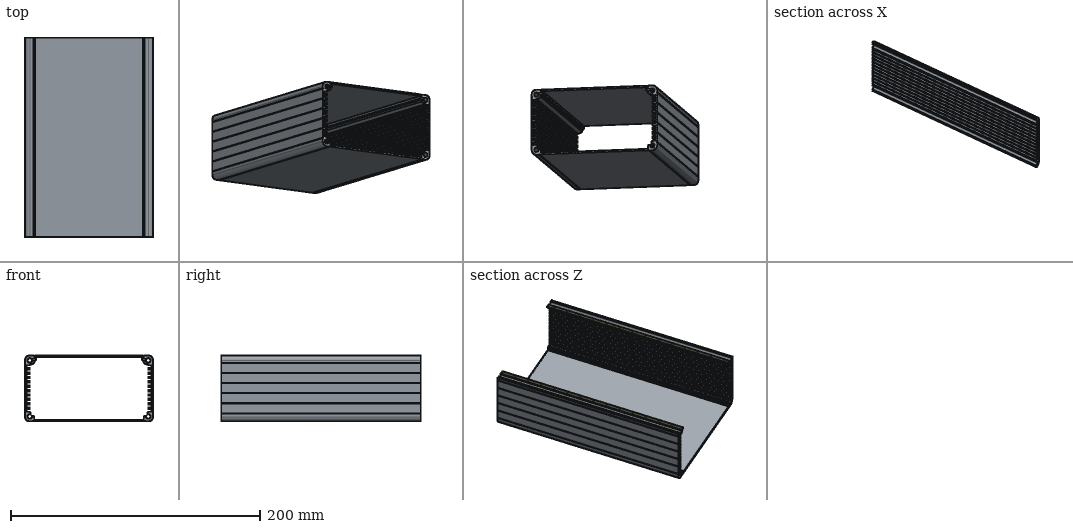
import cadquery as cq

width = 103.0
length = 160.0
height = 53.0
half_width = width / 2
half_height = height / 2

wall = 1.5
corner_radius = 4.0
inner_half_width = half_width - wall
inner_half_height = half_height - wall

rib_count = 10
rib_pitch = 3.5
rib_thickness = 1.5
card_slot = rib_pitch - rib_thickness
rib_reach = 4.0
rib_tip_x = half_width - rib_reach
rib_field_half_height = ((rib_count - 1) * rib_pitch + rib_thickness) / 2 + card_slot

screw_x = half_width - corner_radius
screw_z = half_height - corner_radius
screw_radius = 1.75

arm_end_x = 43.9
joint_gap = 0.3
lid_half_width = arm_end_x - joint_gap
joint_chamfer = 0.65
tongue_tip_x = 45.8
tongue_top_z = 23.85
tongue_bottom_z = 22.2
leg_inner_x = 42.3
leg_chamfer = 0.8

upper_lobe_tip_x = 43.5
upper_lobe_arc_start = (rib_tip_x, 19.0)
upper_lobe_arc_middle = (45.2, 19.65)
upper_lobe_arc_end = (43.95, 20.7)

side_lobe_x = 46.8
side_lobe_bottom_z = -20.9
side_lobe_bevel = 0.5
floor_lobe_tip_x = 46.0
floor_lobe_top_z = -22.0
floor_lobe_top_x = 44.4
floor_lobe_shoulder_z = -23.1
floor_lobe_foot_x = 43.9

groove_width = 0.5
groove_depth = 0.25
side_groove_count = 6
side_groove_pitch = 8.1
side_grooves_centre_z = 0.25
floor_groove_x = 45.1


def extruded(sketch):
    """Extrude a closed XZ outline over the full length, centred on Y = 0."""
    return sketch.extrude(length / 2, both=True)


def prism(points):
    return extruded(cq.Workplane("XZ").polyline(points).close())


def block(x_min, x_max, z_min, z_max):
    return prism([(x_min, z_min), (x_max, z_min), (x_max, z_max), (x_min, z_max)])


def on_both_sides(body):
    return body.union(body.mirror("YZ"))


def outer_shell():
    """Rounded tube with the top left open between the two lid joints."""
    tube = block(-half_width, half_width, -half_height, half_height).edges("|Y").fillet(corner_radius)
    cavity = block(-inner_half_width, inner_half_width, -inner_half_height, inner_half_height)
    lid_opening = block(-arm_end_x, arm_end_x, 0, half_height)
    return tube.cut(cavity).cut(lid_opening)


def ribs():
    rib = block(rib_tip_x, inner_half_width, -rib_thickness / 2, rib_thickness / 2)
    bodies = cq.Workplane("XZ")
    for index in range(rib_count):
        rib_z = (index - (rib_count - 1) / 2) * rib_pitch
        bodies = bodies.add(rib.translate((0, 0, rib_z)))
    return bodies.combine()


def upper_boss():
    """Boss with an upper arm over the tongue and a rounded lobe under it."""
    outline = (
        cq.Workplane("XZ")
        .moveTo(inner_half_width, rib_field_half_height)
        .lineTo(rib_tip_x, rib_field_half_height)
        .lineTo(*upper_lobe_arc_start)
        .threePointArc(upper_lobe_arc_middle, upper_lobe_arc_end)
        .lineTo(upper_lobe_tip_x, tongue_bottom_z)
        .lineTo(tongue_tip_x, tongue_bottom_z)
        .lineTo(tongue_tip_x, tongue_top_z)
        .lineTo(arm_end_x, tongue_top_z)
        .lineTo(arm_end_x, inner_half_height)
        .lineTo(inner_half_width, inner_half_height)
        .close()
    )
    return extruded(outline)


def lower_boss():
    """Boss open towards the cavity between its side lobe and its floor lobe."""
    return prism(
        [
            (inner_half_width, -rib_field_half_height),
            (rib_tip_x, -rib_field_half_height),
            (rib_tip_x, -rib_field_half_height - side_lobe_bevel),
            (side_lobe_x, -rib_field_half_height - 2 * side_lobe_bevel),
            (side_lobe_x, side_lobe_bottom_z),
            (screw_x, side_lobe_bottom_z),
            (screw_x, -screw_z),
            (floor_lobe_tip_x, -screw_z),
            (floor_lobe_tip_x, floor_lobe_top_z),
            (floor_lobe_top_x, floor_lobe_top_z),
            (floor_lobe_foot_x, floor_lobe_shoulder_z),
            (floor_lobe_foot_x, -inner_half_height),
            (inner_half_width, -inner_half_height),
        ]
    )


def screw_channel(centre_z):
    return extruded(cq.Workplane("XZ").center(screw_x, centre_z).circle(screw_radius))


def joint_bevel():
    """Triangle removed from the outer top edge of a corner arm."""
    return prism(
        [
            (arm_end_x, half_height),
            (arm_end_x + joint_chamfer, half_height),
            (arm_end_x, half_height - joint_chamfer),
        ]
    )


def side_groove(groove_z):
    return prism(
        [
            (half_width, groove_z - groove_width / 2),
            (half_width - groove_depth, groove_z),
            (half_width, groove_z + groove_width / 2),
        ]
    )


def floor_groove():
    return prism(
        [
            (floor_groove_x - groove_width / 2, -half_height),
            (floor_groove_x, -half_height + groove_depth),
            (floor_groove_x + groove_width / 2, -half_height),
        ]
    )


def make_housing():
    body = outer_shell()
    for feature in (ribs(), upper_boss(), lower_boss()):
        body = body.union(on_both_sides(feature))
    cuts = [screw_channel(screw_z), screw_channel(-screw_z), joint_bevel(), floor_groove()]
    for index in range(side_groove_count):
        groove_offset = (index - (side_groove_count - 1) / 2) * side_groove_pitch
        cuts.append(side_groove(side_grooves_centre_z + groove_offset))
    for cut in cuts:
        body = body.cut(cut).cut(cut.mirror("YZ"))
    return body


def make_lid():
    """Flat plate with a leg and an outward tongue along each long edge."""
    plate = block(-lid_half_width, lid_half_width, inner_half_height, half_height)
    plate = plate.edges("|Y and >Z").chamfer(joint_chamfer)
    hook = prism(
        [
            (lid_half_width, inner_half_height),
            (lid_half_width, tongue_top_z),
            (tongue_tip_x, tongue_top_z),
            (tongue_tip_x, tongue_bottom_z),
            (leg_inner_x + leg_chamfer, tongue_bottom_z),
            (leg_inner_x, tongue_bottom_z + leg_chamfer),
            (leg_inner_x, inner_half_height),
        ]
    )
    return plate.union(hook).union(hook.mirror("YZ"))


housing = make_housing()
lid = make_lid()
result = cq.Compound.makeCompound([housing.solids().val(), lid.solids().val()])